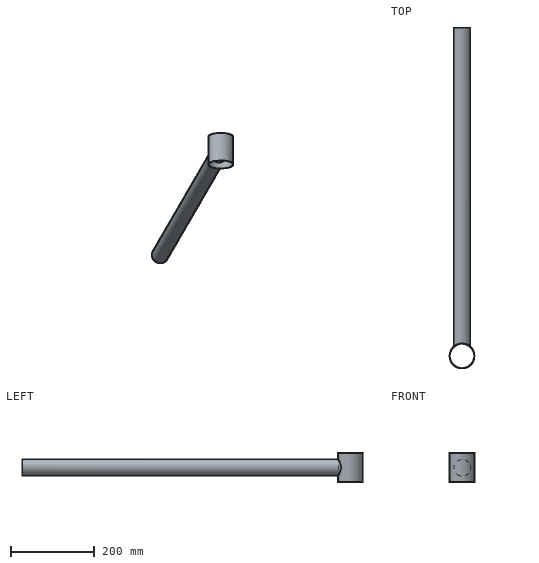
import cadquery as cq

COLLAR_DIAMETER = 60.0
COLLAR_HEIGHT = 70.0
COLLAR_WALL = 1.0
ARM_DIAMETER = 40.0
OVERALL_LENGTH = 816.0

COLLAR_RADIUS = COLLAR_DIAMETER / 2
COLLAR_BORE_RADIUS = COLLAR_RADIUS - COLLAR_WALL
ARM_RADIUS = ARM_DIAMETER / 2
ARM_REACH = OVERALL_LENGTH - COLLAR_RADIUS


def upright_cylinder(radius):
    """Cylinder on the Z axis, as tall as the collar and centred on the origin."""
    return cq.Workplane("XY").circle(radius).extrude(COLLAR_HEIGHT / 2, both=True)


def arm():
    """Round bar from the collar axis along +Y to its free end."""
    return cq.Workplane("XZ").circle(ARM_RADIUS).extrude(-ARM_REACH)


result = upright_cylinder(COLLAR_RADIUS).union(arm()).cut(upright_cylinder(COLLAR_BORE_RADIUS))